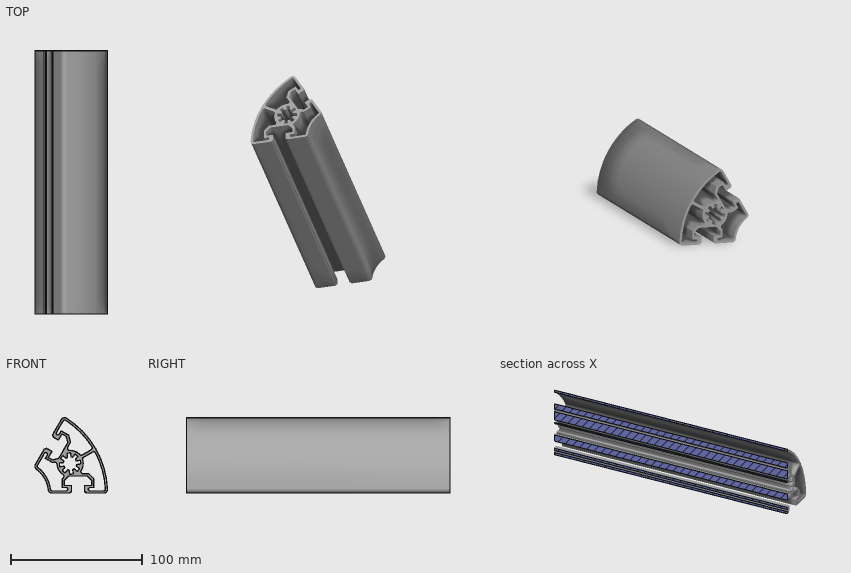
import cadquery as cq
import math

length = 200
sector_angle = 60
middle_angle = sector_angle / 2
depth = 45.0
inner_radius = depth / 2
outer_radius = inner_radius + depth
mid_radius = inner_radius + depth / 2
corner_radius = 3.0
wall = 1.8

mouth_width = 9.8
mouth_chamfer = 0.5
ledge_width = 0.8
ledge_height = 1.0
lip_height = 6
lip_thickness = 3.0
cavity_width = 20.5
cavity_height = 13.0
cavity_chamfer = 3.5
block_chamfer = 4
pocket_height = 2.5

hub_radius = 10
bore_radius = 5.0
groove_radius = 8
groove_width = 2.5
groove_count = 8
web_thickness = 2.2
hub_fillet = 1.5
web_fillet = 1.5


def prism(outline):
    """Extrude a closed XZ outline along the whole length, centred on Y = 0."""
    return outline.extrude(length / 2, both=True)


def polar(radius, angle):
    """X and Z of a point at a radius and an angle in degrees from +X towards +Z."""
    return radius * math.cos(math.radians(angle)), radius * math.sin(math.radians(angle))


hub_center = polar(mid_radius, middle_angle)
web_end = polar(outer_radius - wall, middle_angle)


def sector(inset):
    """Rounded sector prism whose sides all lie an inset inside the outer profile."""
    inner = inner_radius + inset
    outer = outer_radius - inset
    inner_angle = math.degrees(math.asin(inset / inner))
    outer_angle = math.degrees(math.asin(inset / outer))
    outline = (
        cq.Workplane("XZ")
        .moveTo(*polar(inner, inner_angle))
        .lineTo(*polar(outer, outer_angle))
        .threePointArc(polar(outer, middle_angle), polar(outer, sector_angle - outer_angle))
        .lineTo(*polar(inner, sector_angle - inner_angle))
        .threePointArc(polar(inner, middle_angle), polar(inner, inner_angle))
        .close()
    )
    return prism(outline).edges("|Y").fillet(corner_radius - inset)


def on_both_faces(solid):
    """Join a solid on the lower face with its mirror image on the slanted face."""
    mirrored = solid.mirror("XY").rotate((0, 0, 0), (0, 1, 0), -sector_angle)
    return solid.union(mirrored)


def symmetric_prism(half_outline):
    """Prism from the right half of an outline that is symmetric about the slot centre."""
    right = [(mid_radius + x, z) for x, z in half_outline]
    left = [(mid_radius - x, z) for x, z in reversed(half_outline)]
    return prism(cq.Workplane("XZ").polyline(right + left).close())


def slot_cavity():
    """T-shaped space of the lower slot, with a chamfered and stepped mouth."""
    mouth = mouth_width / 2
    half = cavity_width / 2
    return symmetric_prism([
        (mouth + ledge_width + mouth_chamfer, 0),
        (mouth + ledge_width, mouth_chamfer),
        (mouth + ledge_width, ledge_height),
        (mouth, ledge_height),
        (mouth, lip_height),
        (half, lip_height),
        (half, cavity_height - cavity_chamfer),
        (half - cavity_chamfer, cavity_height),
    ])


def slot_block():
    """Solid outline of the lower slot's walls, with a round-ended pocket under each side."""
    half = cavity_width / 2 + wall
    top = cavity_height + wall
    block = symmetric_prism([(half, 0), (half, top - block_chamfer), (half - block_chamfer, top)])

    pocket_start = mouth_width / 2 + lip_thickness
    pocket_length = half - pocket_start + pocket_height
    pocket_offset = pocket_start + pocket_length / 2
    pocket_middle = wall + pocket_height / 2
    centers = [(mid_radius + side * pocket_offset, pocket_middle) for side in (-1, 1)]
    pockets = cq.Workplane("XZ").pushPoints(centers).slot2D(pocket_length, pocket_height)
    return block.cut(prism(pockets))


def hub_cylinder(radius):
    return prism(cq.Workplane("XZ").center(*hub_center).circle(radius))


def hub_arm(reach, width, angle):
    """Flat bar that starts at the hub axis and points along an angle."""
    bar = prism(cq.Workplane("XZ").center(reach / 2, 0).rect(reach, width))
    x, z = hub_center
    return bar.rotate((0, 0, 0), (0, 1, 0), -angle).translate((x, 0, z))


def toothed_bore():
    """Round bore with evenly spaced grooves; one tooth points along the web."""
    pitch = 360 / groove_count
    bore = hub_cylinder(bore_radius)
    for i in range(groove_count):
        angle = middle_angle + (i + 0.5) * pitch
        bore = bore.union(hub_arm(groove_radius + wall, groove_width, angle))
    return bore.intersect(hub_cylinder(groove_radius))


def fillet_near(solid, point, distance, radius):
    """Round the lengthwise edges that lie within a distance of an XZ point."""
    def is_near(edge):
        center = edge.Center()
        return math.dist((center.x, center.z), point) < distance

    near_edges = solid.edges("|Y").filter(is_near).vals()
    return solid.newObject(near_edges).fillet(radius)


def chambers():
    """The three hollows between the outer wall, the slots, the hub and the web."""
    web = hub_arm(depth / 2, web_thickness, middle_angle)
    hollow = sector(wall).cut(on_both_faces(slot_block())).cut(hub_cylinder(hub_radius)).cut(web)
    hollow = fillet_near(hollow, hub_center, hub_radius + wall / 2, hub_fillet)
    return fillet_near(hollow, web_end, web_thickness, web_fillet)


result = (
    sector(0)
    .cut(chambers())
    .cut(on_both_faces(slot_cavity()))
    .cut(toothed_bore())
)